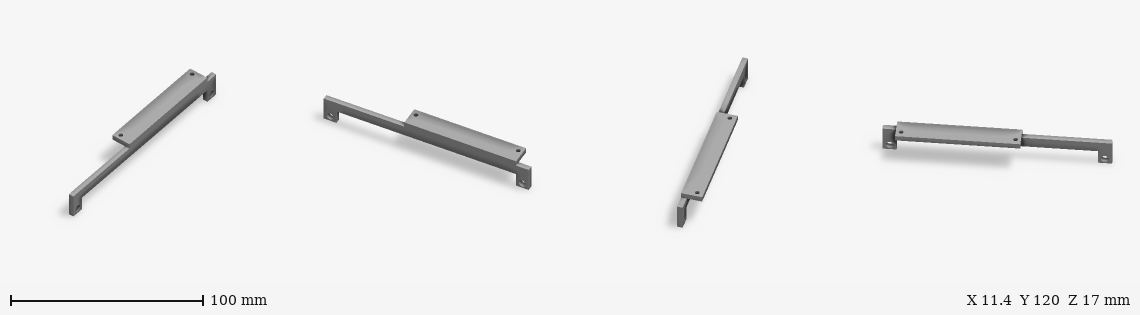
import cadquery as cq

length = 120.0
width = 11.4
height = 17.0

thickness = 3.0
bar_depth = 6.0
leg_length = 7.5
leg_hole_diameter = 4.0
leg_hole_height = 3.0
leg_hole_inset = 3.8

plate_length = 65.4
plate_hole_diameter = 2.5
plate_hole_side_inset = 3.5
plate_hole_end_inset = 2.8

bar_top = height - thickness
bar_left = width - thickness
plate_back = length / 2 - leg_length
plate_front = plate_back - plate_length


def box(size_x, size_y, size_z, corner):
    """Box whose lowest corner sits at the given point."""
    return cq.Workplane("XY").box(size_x, size_y, size_z, centered=False).translate(corner)


def make_bar():
    """Upright bar along Y, cut away below between its two drilled legs."""
    bar = box(thickness, length, bar_top, (bar_left, -length / 2, 0))
    gap_length = length - 2 * leg_length
    gap = box(thickness, gap_length, bar_top - bar_depth, (bar_left, -gap_length / 2, 0))
    hole_y = length / 2 - leg_hole_inset
    holes = (
        cq.Workplane("YZ")
        .pushPoints([(-hole_y, leg_hole_height), (hole_y, leg_hole_height)])
        .circle(leg_hole_diameter / 2)
        .extrude(width)
    )
    return bar.cut(gap).cut(holes)


def make_plate():
    """Flat plate flush with the outer face of the bar, with a hole near each end."""
    plate = box(width, plate_length, thickness, (0, plate_front, bar_top))
    hole_ys = (plate_front + plate_hole_end_inset, plate_back - plate_hole_end_inset)
    holes = (
        cq.Workplane("XY")
        .pushPoints([(plate_hole_side_inset, y) for y in hole_ys])
        .circle(plate_hole_diameter / 2)
        .extrude(height)
    )
    return plate.cut(holes)


result = make_bar().union(make_plate())